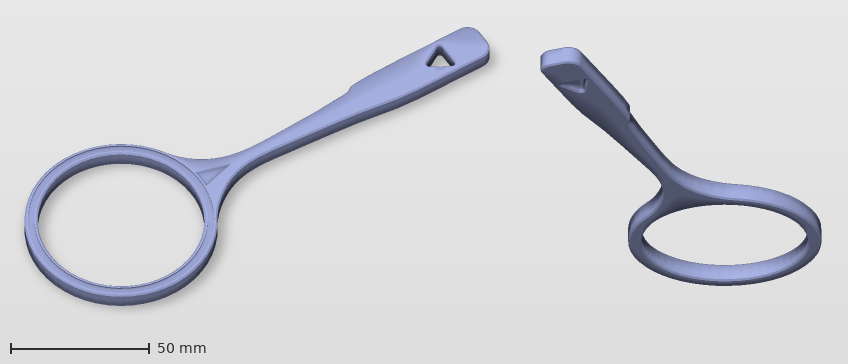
import cadquery as cq
import math

thickness = 6.6
edge_chamfer = 0.6
cut_margin = 1.0

ring_outer_radius = 69.6 / 2
ring_inner_radius = 60.0 / 2
rim_width = 1.2
groove_depth = 0.6

overall_length = 189.7
handle_end_y = overall_length - ring_outer_radius
handle_half_width = 15.4 / 2
end_corner_radius = 10.2 / 2
grip_straight_length = 32.3
taper_point = (5.5, 100.6)
neck_point = (3.2, 71.0)
flare_point = (5.6, 43.7)
flare_start_y = 30.0

hole_side = 12.0
hole_top_y = 140.0
hole_corner_radius = 1.2

pocket_apex_y = 47.2
pocket_side_slope = 0.285
pocket_depth = 0.6


def handle_side_points():
    """Right-hand side of the handle between the straight grip and the ring."""
    grip_end = (handle_half_width, handle_end_y - grip_straight_length)
    flare_start_x = math.sqrt(ring_outer_radius**2 - flare_start_y**2)
    return [grip_end, taper_point, neck_point, flare_point, (flare_start_x, flare_start_y)]


def make_outline():
    """Solid blank of the ring disc and the handle in one outline."""
    side = handle_side_points()
    grip_x, grip_y = side[0]
    foot_x, foot_y = side[-1]
    corner_inset = end_corner_radius * (1 - math.sqrt(0.5))
    corner_x = grip_x - end_corner_radius
    corner_y = handle_end_y - end_corner_radius
    down = (0, -1)
    ring_tangent = (foot_y, -foot_x)
    mirrored_side = [(-x, y) for x, y in reversed(side)]
    return (
        cq.Workplane("XY")
        .moveTo(corner_x, handle_end_y)
        .threePointArc((grip_x - corner_inset, handle_end_y - corner_inset), (grip_x, corner_y))
        .lineTo(grip_x, grip_y)
        .spline(side[1:], tangents=[down, ring_tangent], includeCurrent=True)
        .threePointArc((0, -ring_outer_radius), (-foot_x, foot_y))
        .spline(mirrored_side[1:], tangents=[(foot_y, foot_x), (0, 1)], includeCurrent=True)
        .lineTo(-grip_x, corner_y)
        .threePointArc((corner_inset - grip_x, handle_end_y - corner_inset), (-corner_x, handle_end_y))
        .close()
        .extrude(thickness)
    )


def make_hanging_hole():
    hole_height = hole_side * math.sqrt(3) / 2
    return (
        cq.Workplane("XY")
        .moveTo(-hole_side / 2, hole_top_y)
        .lineTo(hole_side / 2, hole_top_y)
        .lineTo(0, hole_top_y - hole_height)
        .close()
        .extrude(thickness)
        .edges("|Z")
        .fillet(hole_corner_radius)
    )


def make_groove():
    return (
        cq.Workplane("XY", origin=(0, 0, thickness - groove_depth))
        .circle(ring_outer_radius - rim_width)
        .circle(ring_inner_radius + rim_width)
        .extrude(groove_depth + cut_margin)
    )


def make_pocket():
    """Triangle with sloping walls, ending at the chamfered edge of the ring."""
    half_base = pocket_side_slope * pocket_apex_y
    triangle = (
        cq.Workplane("XY", origin=(0, 0, thickness))
        .polyline([(0, pocket_apex_y), (half_base, 0), (-half_base, 0)])
        .close()
        .extrude(-pocket_depth, taper=45)
    )
    ring_edge = (
        cq.Workplane("XY")
        .circle(ring_outer_radius)
        .extrude(thickness)
        .faces(">Z")
        .chamfer(edge_chamfer)
    )
    return triangle.cut(ring_edge)


bore = cq.Workplane("XY").circle(ring_inner_radius).extrude(thickness)
body = make_outline().cut(bore).cut(make_hanging_hole())
body = body.faces("<Z or >Z").edges().chamfer(edge_chamfer)
result = body.cut(make_groove()).cut(make_pocket())